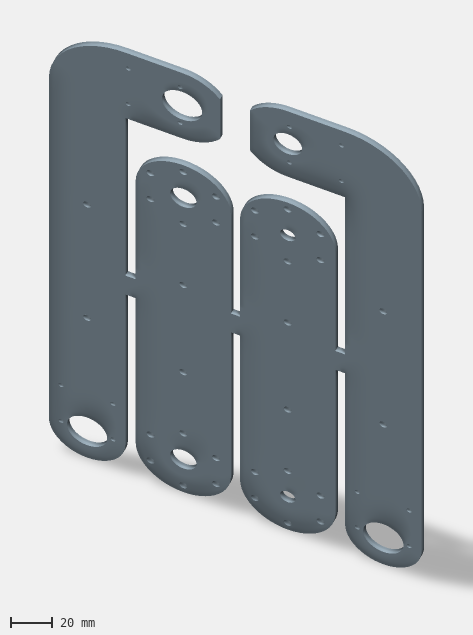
import cadquery as cq
import math

width = 195.5
height = 320.5
thickness = 3.0

arm_width = 40.0
arm_end_radius = arm_width / 2
arm_length = 320.0
hook_height = 50.0
hook_nose_radius = hook_height / 2
hook_nose_flat = 20.0
hook_corner_radius = 40.0
arm_x = width / 2 - arm_end_radius
left_hook_x = -28.0
right_hook_x = 27.5
left_arm_bottom = height / 2 - arm_length
right_arm_bottom = -height / 2

link_width = 50.0
link_end_radius = link_width / 2
link_pitch = 200.0
link_low_z = left_arm_bottom + link_end_radius
left_link_x = -27.2
right_link_x = 27.5

bridge_top = -10.3
bridge_bottom = -24.7

large_bore = 21.0
right_hook_bore = 15.0
left_link_bore = 13.8
right_link_bore = 8.0
bolt_hole = 4.2
screw_hole = 2.7
bolt_circle_radius = 20.0
bolt_count = 6
screw_spacing = 27.2
screw_offset = 1.0
arm_bolt_low = 87.0
arm_bolt_pitch = 86.5


def plate(profile):
    """Extrude an XZ profile to a plate centred on Y = 0."""
    return profile.extrude(thickness / 2, both=True)


def arm(side, hook_x, bottom):
    """Arm with a round foot and a hook pointing inwards; side is -1 or 1."""
    top = bottom + arm_length
    outer_x = side * width / 2
    inner_x = side * (width / 2 - arm_width)
    foot_z = bottom + arm_end_radius
    hook_z = top - hook_nose_radius
    hook_bottom = top - hook_height
    tip_x = hook_x - side * hook_nose_flat
    tip_half = math.sqrt(hook_nose_radius**2 - hook_nose_flat**2)
    nose_angle = (math.atan2(tip_half, hook_nose_flat) + math.pi / 2) / 2
    nose_x = hook_x - side * hook_nose_radius * math.cos(nose_angle)
    nose_rise = hook_nose_radius * math.sin(nose_angle)
    corner_x = outer_x - side * hook_corner_radius
    corner_z = top - hook_corner_radius
    corner_reach = hook_corner_radius * math.sqrt(0.5)
    return plate(
        cq.Workplane("XZ")
        .moveTo(outer_x, foot_z)
        .lineTo(outer_x, corner_z)
        .threePointArc((corner_x + side * corner_reach, corner_z + corner_reach), (corner_x, top))
        .lineTo(hook_x, top)
        .threePointArc((nose_x, hook_z + nose_rise), (tip_x, hook_z + tip_half))
        .lineTo(tip_x, hook_z - tip_half)
        .threePointArc((nose_x, hook_z - nose_rise), (hook_x, hook_bottom))
        .lineTo(inner_x, hook_bottom)
        .lineTo(inner_x, foot_z)
        .threePointArc((side * arm_x, bottom), (outer_x, foot_z))
        .close()
    )


def link(x):
    """Straight link with full-round ends."""
    return plate(
        cq.Workplane("XZ")
        .center(x, link_low_z + link_pitch / 2)
        .slot2D(link_pitch + link_width, link_width, 90)
    )


def bridge():
    """Strip across both links, ending inside the arms."""
    return plate(
        cq.Workplane("XZ")
        .center(0, (bridge_top + bridge_bottom) / 2)
        .rect(2 * arm_x, bridge_top - bridge_bottom)
    )


def drill(body, points, diameter):
    """Cut through holes at (x, z) points."""
    return body.cut(plate(cq.Workplane("XZ").pushPoints(points).circle(diameter / 2)))


def screw_square(x, z):
    """Corners of a screw square centred on (x, z)."""
    half = screw_spacing / 2
    return [(x + i * half, z + j * half) for i in (-1, 1) for j in (-1, 1)]


def drill_arm(body, side, hook_x, bottom, hook_bore):
    """Bores, screw squares and two bolt holes of one arm."""
    x = side * arm_x
    foot_z = bottom + arm_end_radius
    hook_z = bottom + arm_length - hook_nose_radius
    body = drill(body, [(x, foot_z)], large_bore)
    body = drill(body, [(hook_x, hook_z)], hook_bore)
    foot_square_z = foot_z + screw_offset + screw_spacing / 2
    hook_square_x = hook_x + side * (screw_offset + screw_spacing / 2)
    screws = screw_square(x, foot_square_z) + screw_square(hook_square_x, hook_z)
    body = drill(body, screws, screw_hole)
    low_bolt_z = foot_z + arm_bolt_low
    return drill(body, [(x, low_bolt_z), (x, low_bolt_z + arm_bolt_pitch)], bolt_hole)


def drill_link(body, x, bore):
    """End bores with bolt circles, and bolt holes at thirds of the link."""
    end_heights = (link_low_z, link_low_z + link_pitch)
    bolts = [(x, link_low_z + link_pitch * i / 3) for i in (1, 2)]
    for z in end_heights:
        for i in range(bolt_count):
            angle = math.pi / 2 + 2 * math.pi * i / bolt_count
            bolts.append((x + bolt_circle_radius * math.cos(angle), z + bolt_circle_radius * math.sin(angle)))
    body = drill(body, [(x, z) for z in end_heights], bore)
    return drill(body, bolts, bolt_hole)


body = bridge()
body = body.union(arm(-1, left_hook_x, left_arm_bottom))
body = body.union(arm(1, right_hook_x, right_arm_bottom))
body = body.union(link(left_link_x))
body = body.union(link(right_link_x))

body = drill_arm(body, -1, left_hook_x, left_arm_bottom, large_bore)
body = drill_arm(body, 1, right_hook_x, right_arm_bottom, right_hook_bore)
body = drill_link(body, left_link_x, left_link_bore)
body = drill_link(body, right_link_x, right_link_bore)

result = body